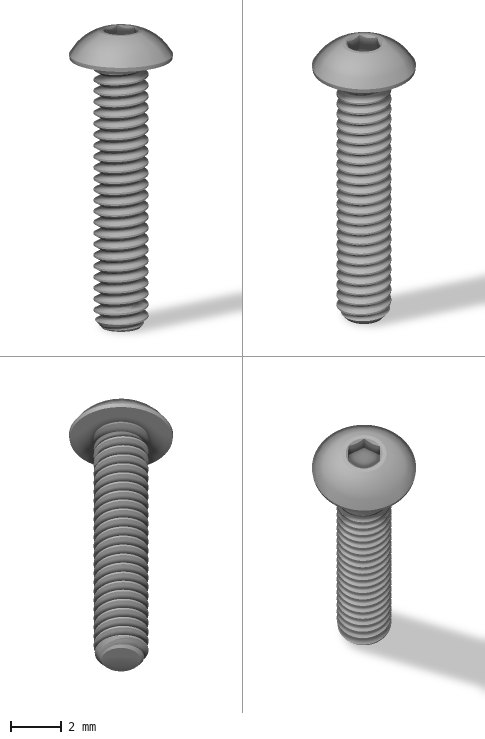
import cadquery as cq
import math

total_length = 12.28
head_height = 1.17
shank_length = total_length - head_height

head_radius = 4.16 / 2
head_base_radius = 4.11 / 2
head_top_radius = 0.9
rim_height = 0.17
dome_bulge = 0.15

hex_across_flats = 1.26
hex_corner_diameter = hex_across_flats / math.cos(math.pi / 6)
socket_depth = 0.64
socket_lead_in = (hex_corner_diameter - hex_across_flats) / 2

thread_radius = 1.09
root_radius = 0.8
thread_turns = 24
thread_length = 10.88
pitch = thread_length / thread_turns
root_flat = 0.04
flank_angle = math.radians(30)
groove_overlap = 0.06
neck_radius = 0.79
neck_flat = 0.05
first_groove_depth = 0.27
tip_radius = 0.77
tip_chamfer_height = 0.37


def make_head():
    """Revolved button head with a domed top and a slightly tapered rim."""
    dome_middle_radius = (head_radius + head_top_radius) / 2
    dome_middle_height = (rim_height + head_height) / 2
    dome_width = head_radius - head_top_radius
    dome_height = head_height - rim_height
    chord = math.hypot(dome_width, dome_height)
    dome_middle = (
        dome_middle_radius + dome_bulge * dome_height / chord,
        dome_middle_height + dome_bulge * dome_width / chord,
    )
    return (
        cq.Workplane("XZ")
        .lineTo(head_base_radius, 0)
        .lineTo(head_radius, rim_height)
        .threePointArc(dome_middle, (head_top_radius, head_height))
        .lineTo(0, head_height)
        .close()
        .revolve(360, (0, 0), (0, 1))
    )


def make_socket():
    """Hexagonal recess, corners along Y, with a conical lead-in."""
    hexagon = (
        cq.Workplane("XY", origin=(0, 0, head_height - socket_depth))
        .transformed(rotate=(0, 0, 90))
        .polygon(6, hex_corner_diameter)
        .extrude(socket_depth)
    )
    lead_in = cq.Workplane(cq.Solid.makeCone(
        hex_across_flats / 2,
        hex_corner_diameter / 2,
        socket_lead_in,
        pnt=cq.Vector(0, 0, head_height - socket_lead_in),
    ))
    return hexagon.union(lead_in)


def make_shank():
    """Plain shank with a chamfered tip."""
    return (
        cq.Workplane("XZ")
        .lineTo(thread_radius, 0)
        .lineTo(thread_radius, tip_chamfer_height - shank_length)
        .lineTo(tip_radius, -shank_length)
        .lineTo(0, -shank_length)
        .close()
        .revolve(360, (0, 0), (0, 1))
    )


def groove_profile(floor_radius, floor_width, center_height):
    """V groove section with a flat floor, reaching past the thread crest."""
    outer_radius = thread_radius + groove_overlap
    floor_half_width = floor_width / 2
    outer_half_width = floor_half_width + (outer_radius - floor_radius) * math.tan(flank_angle)
    return cq.Workplane("XZ").polyline([
        (floor_radius, center_height - floor_half_width),
        (outer_radius, center_height - outer_half_width),
        (outer_radius, center_height + outer_half_width),
        (floor_radius, center_height + floor_half_width),
    ]).close()


def make_thread_groove():
    """Right-hand helical groove running out through the tip."""
    start_height = -first_groove_depth - thread_length
    start_center = cq.Vector(0, 0, start_height)
    helix = cq.Wire.makeHelix(pitch, thread_length, root_radius, center=start_center)
    groove = groove_profile(root_radius, root_flat, start_height).sweep(cq.Workplane(helix), isFrenet=True)
    return groove.rotate((0, 0, 0), (0, 0, 1), 180)


def make_neck_groove():
    """Ring groove under the head where the thread begins."""
    profile = groove_profile(neck_radius, neck_flat, -first_groove_depth)
    return profile.revolve(360, (0, 0), (0, 1))


threaded_shank = make_shank().cut(make_thread_groove()).cut(make_neck_groove())
head = make_head().cut(make_socket())
result = threaded_shank.union(head).translate((0, 0, shank_length))